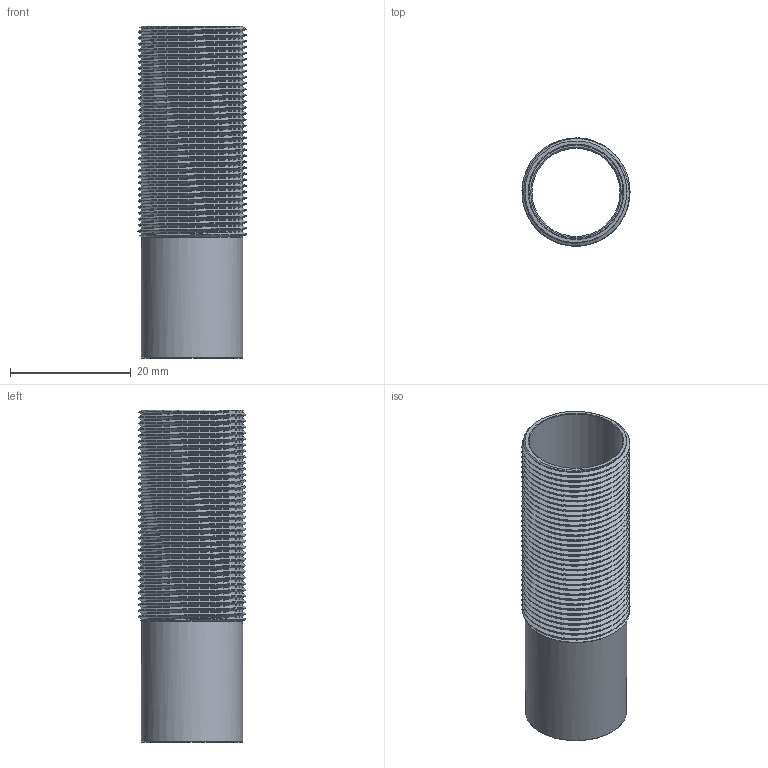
import cadquery as cq
import math

length = 55.0
body_diameter = 16.8
bore_diameter = 15.6

lip_diameter = 14.6
lip_height = 1.0

edge_break = 0.1
lip_edge_break = 0.2

thread_diameter = 17.9
thread_root_diameter = body_diameter
thread_pitch = 1.0
thread_length = 35.0
crest_width = thread_pitch / 8
root_width = thread_pitch / 4
thread_end_chamfer = 0.5
trim_clearance = 0.05
overrun_below = 2 * thread_pitch
overrun_above = thread_pitch

body_radius = body_diameter / 2
bore_radius = bore_diameter / 2
lip_radius = lip_diameter / 2
thread_radius = thread_diameter / 2
root_radius = thread_root_diameter / 2
thread_base = length - thread_length


def on_seam(radius, height):
    """Point in the XZ plane on the +X side, where every thread turn starts and ends."""
    return cq.Vector(radius, 0, height)


def thread_profile():
    """One pitch of the thread as (radius, height) points, from root centre to root centre."""
    crest_middle = thread_pitch / 2
    return [
        (root_radius, 0),
        (root_radius, root_width / 2),
        (thread_radius, crest_middle - crest_width / 2),
        (thread_radius, crest_middle + crest_width / 2),
        (root_radius, thread_pitch - root_width / 2),
        (root_radius, thread_pitch),
    ]


def helix_turn(radius, height):
    """One turn of the helix, starting on the seam at the given height."""
    return cq.Wire.makeHelix(thread_pitch, thread_pitch, radius).translate(cq.Vector(0, 0, height))


def turn_faces(height):
    """Root, flank and crest faces of one thread turn."""
    profile = thread_profile()
    return [
        cq.Face.makeRuledSurface(helix_turn(r0, height + h0), helix_turn(r1, height + h1))
        for (r0, h0), (r1, h1) in zip(profile, profile[1:])
    ]


def end_faces(height):
    """Spiral-staircase face and flat seam face that close one end of the threaded rod."""
    axis_bottom = on_seam(0, height)
    axis_top = on_seam(0, height + thread_pitch)
    axis = cq.Wire.assembleEdges([cq.Edge.makeLine(axis_bottom, axis_top)])
    staircase = cq.Face.makeRuledSurface(axis, helix_turn(root_radius, height))
    outline = [on_seam(radius, height + rise) for radius, rise in thread_profile()]
    seam = cq.Wire.makePolygon([axis_bottom, *outline, axis_top], close=True)
    return [staircase, cq.Face.makeFromWires(seam)]


def make_threaded_rod():
    """Solid threaded rod that reaches past both ends of the thread, for trimming to length."""
    rod_base = thread_base - overrun_below
    rod_length = thread_length + overrun_below + overrun_above
    turns = math.ceil(rod_length / thread_pitch)
    faces = end_faces(rod_base) + end_faces(rod_base + turns * thread_pitch)
    for turn in range(turns):
        faces += turn_faces(rod_base + turn * thread_pitch)
    return cq.Workplane(cq.Solid.makeSolid(cq.Shell.makeShell(faces)))


def make_trimming_sleeve():
    """Bored sleeve with 45 degree end chamfers that sets the ends and the inside of the threaded part."""
    outer_radius = thread_radius + trim_clearance
    chamfer = thread_end_chamfer + trim_clearance
    sleeve = cq.Workplane("XY").workplane(offset=thread_base).circle(outer_radius).extrude(thread_length)
    sleeve = sleeve.faces("<Z or >Z").chamfer(chamfer)
    bore = cq.Workplane("XY").circle(bore_radius).extrude(length)
    bore_mouth = cq.Workplane("XY").workplane(offset=length).circle(bore_radius + edge_break)
    bore_mouth = bore_mouth.extrude(-edge_break, taper=45)
    return sleeve.cut(bore).cut(bore_mouth)


def make_plain_part():
    """Unthreaded lower part of the sleeve with the lip inside its lower end."""
    outline = [
        (lip_radius, 0),
        (body_radius - edge_break, 0),
        (body_radius, edge_break),
        (body_radius, thread_base),
        (bore_radius, thread_base),
        (bore_radius, lip_height),
        (lip_radius + lip_edge_break, lip_height),
        (lip_radius, lip_height - lip_edge_break),
    ]
    return cq.Workplane("XZ").polyline(outline).close().revolve(360, (0, 0), (0, 1))


threaded_part = make_trimming_sleeve().intersect(make_threaded_rod(), clean=False)
result = make_plain_part().union(threaded_part, clean=False).solids()